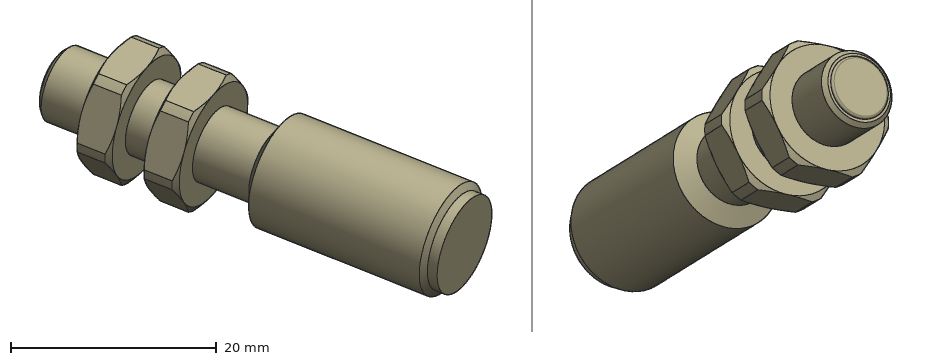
import cadquery as cq
import math

length = 46.3

stem_diameter = 8.0
pilot_diameter = 6.5
pilot_length = 0.3
pilot_edge_radius = 0.25
stem_chamfer_end = 0.75
stem_chamfer = stem_chamfer_end - pilot_length

barrel_diameter = 12.0
barrel_start = 24.25
cap_diameter = 10.4
cap_length = 1.1
cone_angle = 60.0

nut_across_flats = 13.0
nut_corner_diameter = 14.4
nut_thickness = 4.0
nut_starts = (6.3, 13.9)
nut_chamfer_angle = 30.0


def cone_length(large_diameter, small_diameter):
    """Axial length of a cone joining two diameters at the cone angle."""
    return (large_diameter - small_diameter) / 2 / math.tan(math.radians(cone_angle))


def make_shaft():
    """Stem, barrel and cap as one turned body about the X axis."""
    stem_radius = stem_diameter / 2
    pilot_radius = pilot_diameter / 2
    barrel_radius = barrel_diameter / 2
    cap_radius = cap_diameter / 2
    shoulder_end = barrel_start + cone_length(barrel_diameter, stem_diameter)
    cap_start = length - cap_length
    barrel_end = cap_start - cone_length(barrel_diameter, cap_diameter)
    arc_inset = pilot_edge_radius * (1 - math.sqrt(0.5))
    return (
        cq.Workplane("XY")
        .lineTo(0, pilot_radius - pilot_edge_radius)
        .threePointArc((arc_inset, pilot_radius - arc_inset), (pilot_edge_radius, pilot_radius))
        .lineTo(pilot_length, pilot_radius)
        .lineTo(pilot_length, stem_radius - stem_chamfer)
        .lineTo(stem_chamfer_end, stem_radius)
        .lineTo(barrel_start, stem_radius)
        .lineTo(shoulder_end, barrel_radius)
        .lineTo(barrel_end, barrel_radius)
        .lineTo(cap_start, cap_radius)
        .lineTo(length, cap_radius)
        .lineTo(length, 0)
        .close()
        .revolve(360, (0, 0, 0), (1, 0, 0))
    )


def make_nut(start):
    """Solid hexagon with corners on Y, trimmed by a double-chamfered cylinder."""
    face_radius = nut_across_flats / 2
    corner_radius = nut_corner_diameter / 2
    chamfer_depth = (corner_radius - face_radius) * math.tan(math.radians(nut_chamfer_angle))
    end = start + nut_thickness
    hexagon = (
        cq.Workplane("YZ", origin=(start, 0, 0))
        .polygon(6, nut_across_flats, circumscribed=True)
        .extrude(nut_thickness)
        .rotate((0, 0, 0), (1, 0, 0), 90)
    )
    envelope = (
        cq.Workplane("XY")
        .polyline([
            (start, 0),
            (start, face_radius),
            (start + chamfer_depth, corner_radius),
            (end - chamfer_depth, corner_radius),
            (end, face_radius),
            (end, 0),
        ])
        .close()
        .revolve(360, (0, 0, 0), (1, 0, 0))
    )
    return hexagon.intersect(envelope)


result = make_shaft()
for nut_start in nut_starts:
    result = result.union(make_nut(nut_start))